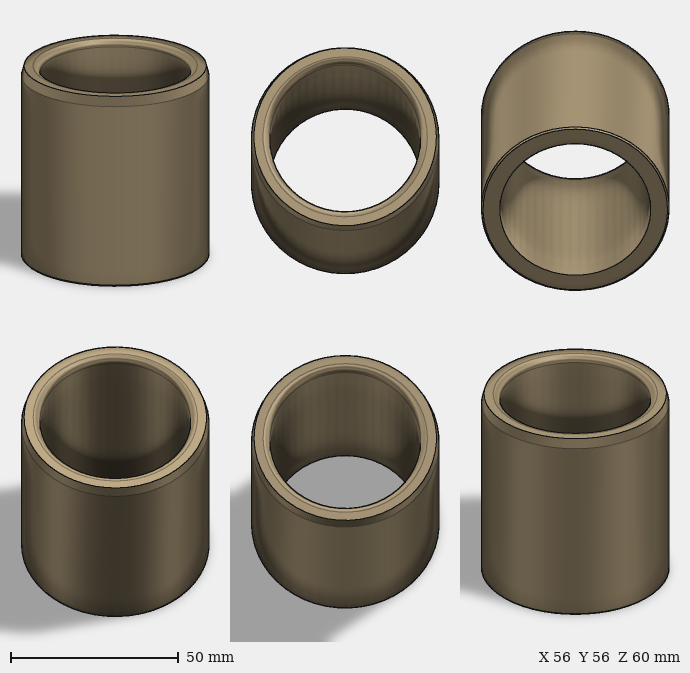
import cadquery as cq
import math

outer_diameter = 56.0
bore_diameter = 45.0
length = 60.0

lead_in_height = 3.0
lead_in_angle = 15.0

bottom_chamfer = 0.5
bore_rounding = 2.0

outer_radius = outer_diameter / 2
bore_radius = bore_diameter / 2
lead_in_inset = lead_in_height * math.tan(math.radians(lead_in_angle))

rounding_sagitta = bore_rounding * (1 - math.sqrt(0.5))


def bushing_wall():
    """Half section of the wall in the XZ plane, turned about the Z axis."""
    section = (
        cq.Workplane("XZ")
        .moveTo(bore_radius, 0)
        .lineTo(outer_radius - bottom_chamfer, 0)
        .lineTo(outer_radius, bottom_chamfer)
        .lineTo(outer_radius, length - lead_in_height)
        .lineTo(outer_radius - lead_in_inset, length)
        .lineTo(bore_radius + bore_rounding, length)
        .threePointArc(
            (bore_radius + rounding_sagitta, length - rounding_sagitta),
            (bore_radius, length - bore_rounding),
        )
        .close()
    )
    return section.revolve(360, (0, 0, 0), (0, 1, 0))


result = bushing_wall()